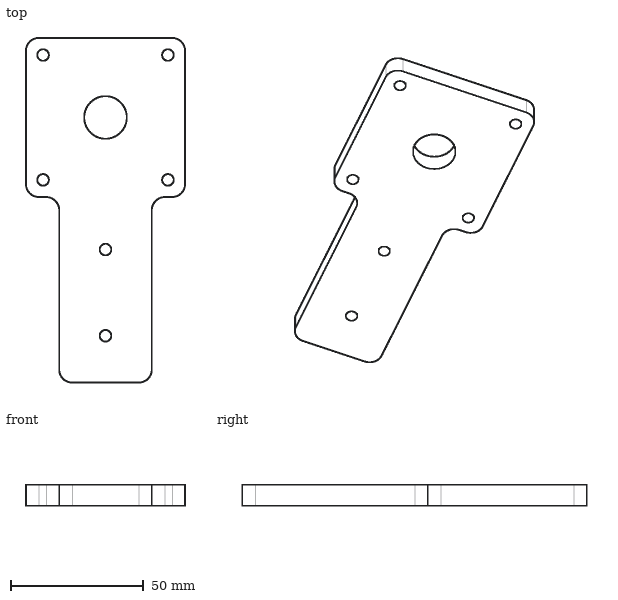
import cadquery as cq

total_length = 130.0
thickness = 8.0
head_size = 60.0
handle_width = 35.0
corner_radius = 5.0
bore_diameter = 16.0
screw_hole_diameter = 4.3
head_hole_spacing = 47.0
handle_hole_spacing = 32.5
handle_hole_end_offset = 17.7

handle_end_y = head_size / 2 - total_length
outer_hole_y = handle_end_y + handle_hole_end_offset
inner_hole_y = outer_hole_y + handle_hole_spacing

head = cq.Workplane("XY").rect(head_size, head_size).extrude(thickness)
handle = (
    cq.Workplane("XY")
    .center(0, handle_end_y / 2)
    .rect(handle_width, -handle_end_y)
    .extrude(thickness)
)
plate = head.union(handle).edges("|Z").fillet(corner_radius)

bore = cq.Workplane("XY").circle(bore_diameter / 2).extrude(thickness)
head_holes = (
    cq.Workplane("XY")
    .rect(head_hole_spacing, head_hole_spacing, forConstruction=True)
    .vertices()
    .circle(screw_hole_diameter / 2)
    .extrude(thickness)
)
handle_holes = (
    cq.Workplane("XY")
    .pushPoints([(0, inner_hole_y), (0, outer_hole_y)])
    .circle(screw_hole_diameter / 2)
    .extrude(thickness)
)

result = plate.cut(bore).cut(head_holes).cut(handle_holes)